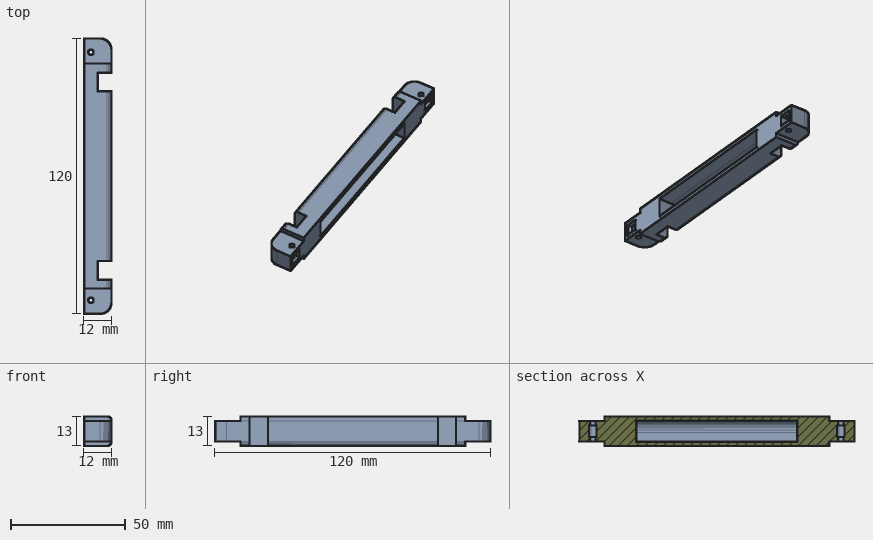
import cadquery as cq

LENGTH = 120.0
WIDTH = 12.0
HEIGHT = 13.0

TAB_LENGTH = 11.0
TAB_HEIGHT = 9.0
TAB_CORNER_RADIUS = 5.0
BODY_EDGE_RADIUS = 2.0

NOTCH_END_OFFSET = 15.0
NOTCH_LENGTH = 8.0
NOTCH_DEPTH = 6.0

POCKET_LENGTH = 70.0
POCKET_HEIGHT = 9.0
POCKET_DEPTH = 10.2
POCKET_RADIUS = 4.0

PIN_DIAMETER = 2.2
PIN_X = 3.0
PIN_END_OFFSET = 6.0

WINDOW_HEIGHT = 5.0
WINDOW_END_OFFSET = 1.5
BARREL_RADIUS = 1.6
ARM_DEPTH = 2.0
ARM_CHAMFER = 1.0

BODY_LENGTH = LENGTH - 2 * TAB_LENGTH
PIN_Y = LENGTH / 2 - PIN_END_OFFSET
ENDS = (-1, 1)


def block(depth, length, height):
    """Box starting at X = 0 and centred on Y and Z."""
    return cq.Workplane("XY").box(depth, length, height, centered=(False, True, True))


def make_bar():
    tabs = block(WIDTH, LENGTH, TAB_HEIGHT).edges("|Z and >X").fillet(TAB_CORNER_RADIUS)
    body = block(WIDTH, BODY_LENGTH, HEIGHT).edges("|Y and >X").fillet(BODY_EDGE_RADIUS)
    return body.union(tabs)


def make_pocket():
    return block(POCKET_DEPTH, POCKET_LENGTH, POCKET_HEIGHT).edges("|Y and >X").fillet(POCKET_RADIUS)


def make_notch(end):
    center_y = end * (LENGTH / 2 - NOTCH_END_OFFSET - NOTCH_LENGTH / 2)
    return block(NOTCH_DEPTH, NOTCH_LENGTH, HEIGHT).translate((WIDTH - NOTCH_DEPTH, center_y, 0))


def make_pin_hole(end):
    hole = cq.Workplane("XY").circle(PIN_DIAMETER / 2).extrude(HEIGHT / 2, both=True)
    return hole.translate((PIN_X, end * PIN_Y, 0))


def make_window(end):
    """Straight arm toward the tab end, joined to a round-bottomed barrel about the pin."""
    arm_outer_y = LENGTH / 2 - WINDOW_END_OFFSET
    arm = (
        cq.Workplane("XY")
        .moveTo(0, end * PIN_Y)
        .lineTo(0, end * arm_outer_y)
        .lineTo(ARM_DEPTH - ARM_CHAMFER, end * arm_outer_y)
        .lineTo(ARM_DEPTH, end * (arm_outer_y - ARM_CHAMFER))
        .lineTo(ARM_DEPTH, end * PIN_Y)
        .close()
        .extrude(WINDOW_HEIGHT / 2, both=True)
    )
    throat = block(PIN_X, 2 * BARREL_RADIUS, WINDOW_HEIGHT).translate((0, end * PIN_Y, 0))
    barrel = cq.Workplane("XY").circle(BARREL_RADIUS).extrude(WINDOW_HEIGHT / 2, both=True)
    return arm.union(throat).union(barrel.translate((PIN_X, end * PIN_Y, 0)))


result = make_bar().cut(make_pocket())
for end in ENDS:
    result = result.cut(make_notch(end)).cut(make_pin_hole(end)).cut(make_window(end))